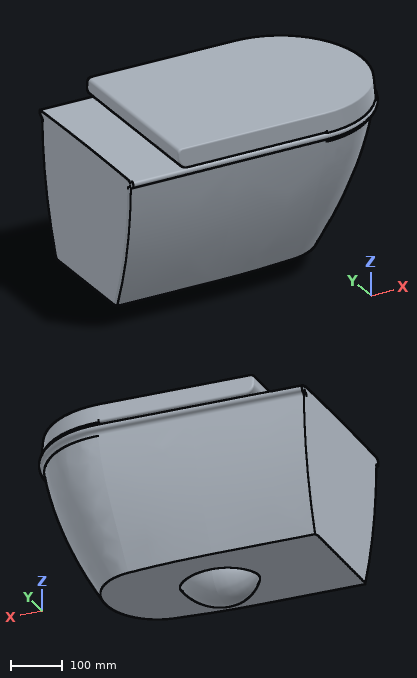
import cadquery as cq
import math

LENGTH = 620.0
WIDTH = 369.0
TOP_Z = 338.0
TRAP_DEPTH = 48.5

BEAD_RADIUS = 14.0 / 2
BEAD_Z = 286.5
BEAD_SWEEP = math.radians(70)
RIM_HALF = WIDTH / 2
RIM_CENTRE_X = LENGTH - RIM_HALF
BOWL_TOP_HALF = 174.0
DECK_CROWN_Z = 296.0

BEVEL_DEPTH = 2.5
BEVEL_INSET = 8.0

BOWL_LOWER_SECTIONS = [
    (0.0, 120.0, 219.0, 400.0, 110.0, 496.5),
    (88.5, 149.0, 225.5, 411.5, 141.5, 547.0),
    (178.5, 167.0, 232.5, 425.5, 163.0, 584.5),
]
STRAIGHT_END_AT_TOP = 240.0
QUARTER_ROUND = 4 / 3 * (math.sqrt(2) - 1)

TRAP_X = 246.0
TRAP_AXIS_Z = 12.5
TRAP_REAR_RADIUS = 77.5
TRAP_FRONT_RADIUS = 111.5

LID_REAR_X = 104.0
LID_FRONT_X = 615.0
LID_HALF = 184.0
LID_DRAFT = 4.0
LID_REAR_TOP_RADIUS = 9.0
LID_REAR_BOTTOM_RADIUS = 20.0
LID_EDGE_RADIUS = 4.5
LID_FOOT_HEIGHT = 2 * LID_EDGE_RADIUS
LID_CENTRE_X = LID_FRONT_X - LID_HALF

BEAD_Y = RIM_HALF - BEAD_RADIUS
COVE_RADIUS = (BEAD_Y + BEAD_RADIUS * math.cos(BEAD_SWEEP) - BOWL_TOP_HALF) / (1 - math.cos(BEAD_SWEEP))
COVE_Y = BOWL_TOP_HALF + COVE_RADIUS
COVE_Z = BEAD_Z - (BEAD_RADIUS + COVE_RADIUS) * math.sin(BEAD_SWEEP)


def on_circle(y, z, radius, angle):
    return (y + radius * math.cos(angle), z + radius * math.sin(angle))


def rim_side(inset=0.0):
    """Points up one side of the rim, each arc's middle followed by its end, to the deck crown."""
    bead_y = BEAD_Y - inset
    cove_y = COVE_Y - inset
    bead_top_z = BEAD_Z + BEAD_RADIUS
    crown_rise = DECK_CROWN_Z - bead_top_z
    crown_radius = (bead_y ** 2 + crown_rise ** 2) / (2 * crown_rise)
    return [
        (cove_y - COVE_RADIUS, COVE_Z),
        on_circle(cove_y, COVE_Z, COVE_RADIUS, math.pi - BEAD_SWEEP / 2),
        on_circle(bead_y, BEAD_Z, BEAD_RADIUS, -BEAD_SWEEP),
        on_circle(bead_y, BEAD_Z, BEAD_RADIUS, -BEAD_SWEEP / 2),
        (bead_y + BEAD_RADIUS, BEAD_Z),
        on_circle(bead_y, BEAD_Z, BEAD_RADIUS, math.pi / 4),
        (bead_y, bead_top_z),
        (bead_y / 2, DECK_CROWN_Z - crown_radius + math.sqrt(crown_radius ** 2 - (bead_y / 2) ** 2)),
        (0, DECK_CROWN_Z),
    ]


def draw_arcs(sketch, points):
    """Add arcs through consecutive (middle, end) pairs."""
    for middle, end in zip(points[::2], points[1::2]):
        sketch = sketch.threePointArc(middle, end)
    return sketch


def rim_outline(x, inset=0.0):
    """Full cross section of the rim at one x, mirrored about y = 0."""
    right = rim_side(inset)
    left = [(-y, z) for y, z in reversed(right)]
    sketch = cq.Workplane("YZ", origin=(x, 0, 0)).moveTo(*right[0])
    return draw_arcs(sketch, right[1:] + left[1:]).close()


def make_rim():
    straight = rim_outline(BEVEL_DEPTH).extrude(RIM_CENTRE_X - BEVEL_DEPTH)
    bevel_outlines = [rim_outline(0, BEVEL_INSET).val(), rim_outline(BEVEL_DEPTH).val()]
    wall_bevel = cq.Workplane(cq.Solid.makeLoft(bevel_outlines, True))
    side = rim_side()
    half_sketch = cq.Workplane("YZ", origin=(RIM_CENTRE_X, 0, 0)).moveTo(0, COVE_Z).lineTo(*side[0])
    front = draw_arcs(half_sketch, side[1:]).close().revolve(180, (0, 0, 0), (0, -1, 0))
    return straight.union(wall_bevel).union(front)


def bowl_section(z, half, straight_end, nose_start, nose_half, front):
    """Level outline: bevelled wall face, straight sides, gentle blend, rounded nose."""
    blend_middle_x = (straight_end + nose_start) / 2
    end_slope = (nose_half - half) / (nose_start - blend_middle_x)
    nose_handle = QUARTER_ROUND * (front - nose_start)
    wall_half = half - BEVEL_INSET
    blend = [(straight_end, half), (blend_middle_x, half), (nose_start, nose_half)]
    nose = [
        (nose_start, nose_half),
        (nose_start + nose_handle, nose_half + nose_handle * end_slope),
        (front, QUARTER_ROUND * nose_half),
        (front, 0),
    ]

    def curve(points):
        return cq.Edge.makeBezier([cq.Vector(x, y, z) for x, y in points])

    def mirrored(points):
        return [(x, -y) for x, y in reversed(points)]

    corners = [
        cq.Vector(straight_end, -half, z),
        cq.Vector(BEVEL_DEPTH, -half, z),
        cq.Vector(0, -wall_half, z),
        cq.Vector(0, wall_half, z),
        cq.Vector(BEVEL_DEPTH, half, z),
        cq.Vector(straight_end, half, z),
    ]
    edges = [cq.Edge.makeLine(start, end) for start, end in zip(corners, corners[1:])]
    edges += [curve(blend), curve(nose), curve(mirrored(nose)), curve(mirrored(blend))]
    return cq.Wire.assembleEdges(edges)


def make_bowl():
    top_front = RIM_CENTRE_X + BOWL_TOP_HALF
    top = (COVE_Z, BOWL_TOP_HALF, STRAIGHT_END_AT_TOP, RIM_CENTRE_X, BOWL_TOP_HALF, top_front)
    wires = [bowl_section(*section) for section in BOWL_LOWER_SECTIONS + [top]]
    return cq.Workplane(cq.Solid.makeLoft(wires))


def trap_reach(radius, z):
    """Lengthwise distance from the lowest point to an arc of the trap at one level."""
    centre_z = radius - TRAP_DEPTH
    return math.sqrt(radius ** 2 - (z - centre_z) ** 2)


def make_trap():
    middle_z = (TRAP_AXIS_Z - TRAP_DEPTH) / 2
    rear_end = (TRAP_X - trap_reach(TRAP_REAR_RADIUS, TRAP_AXIS_Z), TRAP_AXIS_Z)
    rear_middle = (TRAP_X - trap_reach(TRAP_REAR_RADIUS, middle_z), middle_z)
    bottom = (TRAP_X, -TRAP_DEPTH)
    front_middle = (TRAP_X + trap_reach(TRAP_FRONT_RADIUS, middle_z), middle_z)
    front_end = (TRAP_X + trap_reach(TRAP_FRONT_RADIUS, TRAP_AXIS_Z), TRAP_AXIS_Z)
    return (
        cq.Workplane("XZ")
        .moveTo(*rear_end)
        .threePointArc(rear_middle, bottom)
        .threePointArc(front_middle, front_end)
        .close()
        .revolve(360, (0, TRAP_AXIS_Z, 0), (1, TRAP_AXIS_Z, 0))
    )


def lid_plan(half, z):
    """Level outline of the lid: square rear, half-round front."""
    return (
        cq.Workplane("XY", origin=(0, 0, z))
        .moveTo(LID_REAR_X, -half)
        .lineTo(LID_CENTRE_X, -half)
        .threePointArc((LID_CENTRE_X + half, 0), (LID_CENTRE_X, half))
        .lineTo(LID_REAR_X, half)
        .close()
        .val()
    )


def make_lid():
    outlines = [lid_plan(LID_HALF, DECK_CROWN_Z), lid_plan(LID_HALF - LID_DRAFT, TOP_Z)]
    block = cq.Workplane(cq.Solid.makeLoft(outlines, True))

    lid = block.faces("<X").edges(">Z").fillet(LID_REAR_TOP_RADIUS)
    lid = lid.faces("<X").edges("<Z").fillet(LID_REAR_BOTTOM_RADIUS)
    lid = lid.edges(">Y").fillet(LID_EDGE_RADIUS)

    foot_zone = (
        cq.Workplane("XY", origin=(LID_CENTRE_X, 0, DECK_CROWN_Z))
        .box(LENGTH - LID_CENTRE_X, WIDTH, LID_FOOT_HEIGHT, centered=(False, True, False))
    )
    return lid.union(block.intersect(foot_zone))


bowl = make_bowl().union(make_rim()).union(make_trap()).solids()
lid = make_lid().solids()

result = cq.Compound.makeCompound([bowl.val(), lid.val()])